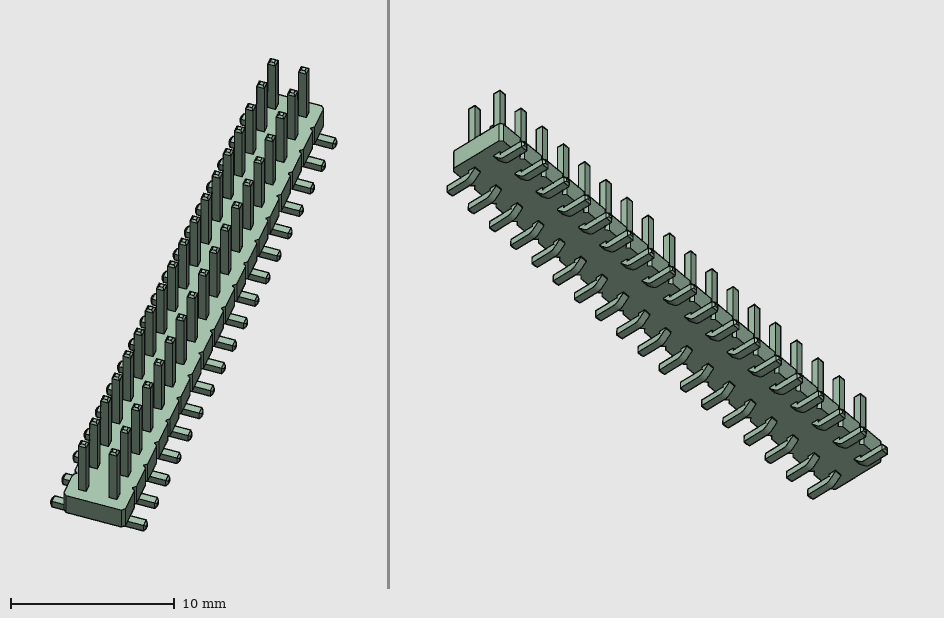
import cadquery as cq

body_length = 36.0
positions = 18
pitch = body_length / positions
body_width = 2 * pitch
body_height = 1.5
corner_cut = 0.198
span = 6.2
total_height = 6.2
pin_height = 4.0
pin_size = 0.5
tip_cut = 0.125
bend_start = 0.6
bend_radius = 0.55

body_bottom = total_height - pin_height - body_height
row_x = pitch / 2
pin_inner_x = row_x - pin_size / 2
pin_middle_z = body_bottom + body_height / 2
bend_foot_x = pin_inner_x + bend_start


def make_segment():
    """One insulator block with chamfered vertical corners, centred on Y = 0."""
    return (
        cq.Workplane("XY")
        .workplane(offset=body_bottom)
        .rect(body_width, pitch)
        .extrude(body_height)
        .edges("|Z")
        .chamfer(corner_cut)
    )


def make_contact():
    """One bent contact on the +X side: upright pin, sloped bend and outward foot."""
    pin = (
        cq.Workplane("XY")
        .workplane(offset=pin_middle_z)
        .center(row_x, 0)
        .rect(pin_size, pin_size)
        .extrude(total_height - pin_middle_z)
        .faces(">Z")
        .chamfer(tip_cut)
    )
    foot = (
        cq.Workplane("XZ")
        .moveTo(pin_inner_x, pin_middle_z)
        .lineTo(pin_inner_x, bend_start)
        .lineTo(bend_foot_x, 0)
        .lineTo(span / 2, 0)
        .lineTo(span / 2, pin_size)
        .lineTo(pin_inner_x + pin_size, pin_size)
        .lineTo(pin_inner_x + pin_size, pin_middle_z)
        .close()
        .extrude(pin_size / 2, both=True)
        .edges("<Z and |Y")
        .edges("<X")
        .fillet(bend_radius)
        .faces(">X")
        .chamfer(tip_cut)
    )
    return pin.union(foot)


contact = make_contact()
unit = make_segment().union(contact).union(contact.mirror("YZ"))

result = unit.translate((0, (pitch - body_length) / 2, 0))
for index in range(1, positions):
    unit_y = (index + 0.5) * pitch - body_length / 2
    result = result.union(unit.translate((0, unit_y, 0)))
result = result.clean()